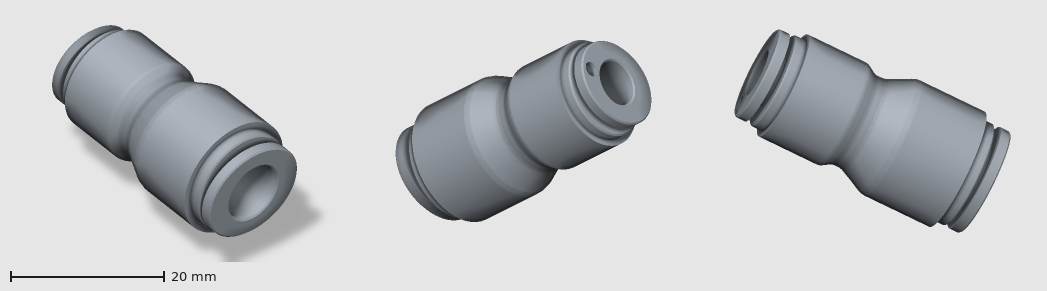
import cadquery as cq

small_stem_start = 1.48
small_ring_start = 2.28
housing_start = 3.9
small_shoulder = 12.7
neck_start = 14.2
neck_end = 15.6
large_shoulder = 19.5
housing_end = 29.5
large_ring_end = 31.27
large_stem_end = 32.05
overall_length = 33.55

small_body_diameter = 14.8
neck_diameter = 13.0
large_body_diameter = 16.7
small_ring_diameter = 13.15
large_ring_diameter = 14.7
small_stem_diameter = 7.5
large_stem_diameter = 9.6

small_collar_width = 13.0
small_collar_height = 11.47
large_collar_width = 15.03
large_collar_height = 13.0

small_bore = 6.2
large_bore = 8.2
passage_diameter = 5.0
passage_start = 14.45
passage_end = 15.4

edge_chamfer = 0.2
blend_radius = 1.0
large_shoulder_radius = 2.0

mark_diameter = 2.0
mark_offset = 4.83
mark_depth = 0.8


def section_plane(x):
    """Plane facing +X at station x: local x runs along Y, local y along Z."""
    return cq.Workplane("YZ", origin=(x, 0, 0))


def cylinder(start, end, diameter):
    return section_plane(start).circle(diameter / 2).extrude(end - start)


def circle_edge_at(x):
    """Selector for the circular edges centred on the axis at station x."""
    reach = 0.05
    return cq.selectors.BoxSelector((x - reach, -reach, -reach), (x + reach, reach, reach))


def make_housing():
    small_radius = small_body_diameter / 2
    neck_radius = neck_diameter / 2
    large_radius = large_body_diameter / 2
    body = (
        cq.Workplane("XZ")
        .moveTo(housing_start, 0)
        .lineTo(housing_start, small_radius)
        .lineTo(small_shoulder, small_radius)
        .lineTo(neck_start, neck_radius)
        .lineTo(neck_end, neck_radius)
        .lineTo(large_shoulder, large_radius)
        .lineTo(housing_end, large_radius)
        .lineTo(housing_end, 0)
        .close()
        .revolve(360, (0, 0, 0), (1, 0, 0))
    )
    for corner in (small_shoulder, neck_start, neck_end):
        body = body.edges(circle_edge_at(corner)).fillet(blend_radius)
    body = body.edges(circle_edge_at(large_shoulder)).fillet(large_shoulder_radius)

    small_socket = cylinder(housing_start, passage_start, small_bore)
    passage = cylinder(passage_start, passage_end, passage_diameter)
    large_socket = cylinder(passage_end, housing_end, large_bore)
    return body.cut(small_socket).cut(passage).cut(large_socket)


def make_ring(start, end, diameter, bore, outer_face):
    """Guide ring against the end of the housing, chamfered at its outer face."""
    ring = cylinder(start, end, diameter).faces(outer_face).edges().chamfer(edge_chamfer)
    return ring.cut(cylinder(start, end, bore))


def make_sleeve(collar_span, stem_span, collar_size, stem_diameter, bore, outer_face):
    """Release sleeve: elliptical collar on a round stem, with a chamfered tube entry."""
    collar_start, collar_end = collar_span
    width, height = collar_size
    collar = (
        section_plane(collar_start)
        .ellipse(width / 2, height / 2)
        .extrude(collar_end - collar_start)
        .cut(cylinder(collar_start, collar_end, bore))
        .faces(outer_face)
        .edges()
        .chamfer(edge_chamfer)
    )
    stem = cylinder(*stem_span, stem_diameter).cut(cylinder(*stem_span, bore))
    return collar.union(stem)


def cut_mark(sleeve):
    mark = section_plane(0).center(mark_offset, 0).circle(mark_diameter / 2).extrude(mark_depth)
    return sleeve.cut(mark)


housing = make_housing()
small_ring = make_ring(small_ring_start, housing_start, small_ring_diameter, small_bore, "<X")
large_ring = make_ring(housing_end, large_ring_end, large_ring_diameter, large_bore, ">X")
small_sleeve = cut_mark(
    make_sleeve(
        collar_span=(0, small_stem_start),
        stem_span=(small_stem_start, small_ring_start),
        collar_size=(small_collar_width, small_collar_height),
        stem_diameter=small_stem_diameter,
        bore=small_bore,
        outer_face="<X",
    )
)
large_sleeve = make_sleeve(
    collar_span=(large_stem_end, overall_length),
    stem_span=(large_ring_end, large_stem_end),
    collar_size=(large_collar_width, large_collar_height),
    stem_diameter=large_stem_diameter,
    bore=large_bore,
    outer_face=">X",
)

result = cq.Compound.makeCompound(
    [
        housing.val(),
        small_ring.val(),
        large_ring.val(),
        small_sleeve.val(),
        large_sleeve.val(),
    ]
)